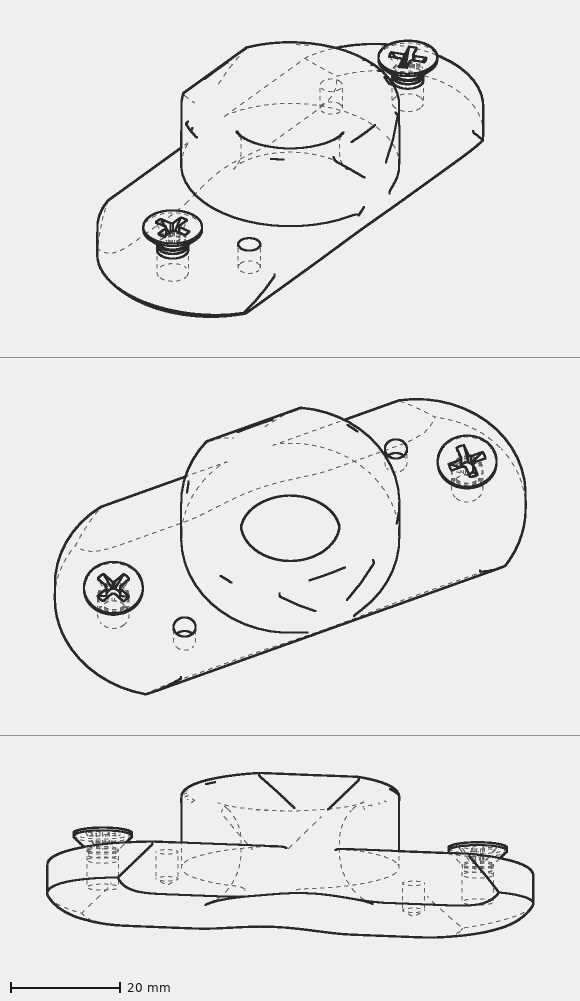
import cadquery as cq
import math


total_length = 90.0
barrel_radius = 20.0
top_z = 10.1
bottom_z = -13.0
plate_thickness = 9.0
plate_top_z = bottom_z + plate_thickness
end_center_y = total_length / 2 - barrel_radius

boss_edge_radius = 1.0
plate_edge_radius = 0.5
end_round_radius = 6.9
end_round_height = 3.2
end_round_center_y = 23.7

throat_radius = 9.0
throat_half_length = 1.0
top_flare_radius = top_z - throat_half_length
bottom_flare_radius = -bottom_z - throat_half_length

pilot_diameter = 4.05
pilot_x = 10.0
pilot_y = 25.0
pilot_depth = 5.0
pilot_tip_angle = 118.0

screw_y = 35.0
screw_top_z = 1.1
screw_turns = {-screw_y: 0.0, screw_y: 22.0}
head_diameter = 10.8
head_rim = 0.5
shank_diameter = 5.8
neck_diameter = 5.6
neck_top_z = -2.25
neck_bottom_z = -3.0
shank_end_z = -9.0
recess_depth = 2.7
recess_top_radius = 3.4
recess_bottom_radius = 1.3
recess_arm_width = 1.4


def make_barrel():
    """Horizontal cylinder that rounds the long sides of the whole housing."""
    return cq.Workplane("XZ").circle(barrel_radius).extrude(total_length / 2, both=True)


def make_plate():
    """Round-ended plate with barrel-shaped sides and a rounded top edge."""
    plate = (
        cq.Workplane("XY", origin=(0, 0, bottom_z))
        .slot2D(total_length, 2 * barrel_radius, 90)
        .extrude(plate_thickness)
        .intersect(make_barrel())
    )
    plate = plate.faces(">Z").edges().fillet(plate_edge_radius)
    return cq.Workplane(plate.val().fix())


def make_boss():
    """Upright cylinder with its two sides trimmed by the barrel and a rounded top edge."""
    boss = (
        cq.Workplane("XY", origin=(0, 0, bottom_z))
        .circle(barrel_radius)
        .extrude(top_z - bottom_z)
        .intersect(make_barrel())
    )
    return boss.faces(">Z").edges().fillet(boss_edge_radius)


def make_end_round_cutter(side):
    """Revolved cutter that rounds the underside of one plate end; side is +1 or -1."""
    reach = total_length / 2 - end_round_center_y
    drop = end_round_radius - end_round_height
    arc_start_r = reach - math.sqrt(end_round_radius**2 - drop**2)
    arc_center_z = bottom_z + end_round_radius
    mid_offset = end_round_radius * math.sqrt(0.5)
    ring = (
        cq.Workplane("XZ")
        .moveTo(arc_start_r, bottom_z)
        .threePointArc(
            (arc_start_r + mid_offset, arc_center_z - mid_offset),
            (arc_start_r + end_round_radius, arc_center_z),
        )
        .lineTo(arc_start_r + end_round_radius, bottom_z)
        .close()
        .revolve(360, (0, 0, 0), (0, 1, 0))
        .translate((0, side * end_round_center_y, 0))
    )
    half_space = cq.Workplane("XY").box(total_length, total_length, total_length).translate(
        (0, side * (end_round_center_y + total_length / 2), 0)
    )
    return ring.intersect(half_space)


def make_bore():
    """Hourglass bore: a straight throat that flares out to the top and to the bottom."""
    top_lip = throat_radius + top_flare_radius
    bottom_lip = throat_radius + bottom_flare_radius
    return (
        cq.Workplane("XZ")
        .moveTo(0, bottom_z)
        .lineTo(bottom_lip, bottom_z)
        .radiusArc((throat_radius, -throat_half_length), bottom_flare_radius)
        .lineTo(throat_radius, throat_half_length)
        .radiusArc((top_lip, top_z), top_flare_radius)
        .lineTo(0, top_z)
        .close()
        .revolve(360, (0, 0, 0), (0, 1, 0))
    )


def make_pilot_holes():
    """Two blind drill holes with conical tips, diagonally opposite each other."""
    radius = pilot_diameter / 2
    tip_height = radius / math.tan(math.radians(pilot_tip_angle / 2))
    hole = (
        cq.Workplane("XZ")
        .moveTo(0, plate_top_z)
        .lineTo(radius, plate_top_z)
        .lineTo(radius, plate_top_z - pilot_depth)
        .lineTo(0, plate_top_z - pilot_depth - tip_height)
        .close()
        .revolve(360, (0, 0, 0), (0, 1, 0))
    )
    return hole.translate((-pilot_x, pilot_y, 0)).union(hole.translate((pilot_x, -pilot_y, 0)))


def make_screw_holes():
    """Blind holes that the screw shanks fill."""
    return (
        cq.Workplane("XY", origin=(0, 0, plate_top_z))
        .pushPoints([(0, -screw_y), (0, screw_y)])
        .circle(shank_diameter / 2)
        .extrude(shank_end_z - plate_top_z)
    )


def make_housing():
    housing = make_plate().union(make_boss())
    for side in (-1, 1):
        housing = housing.cut(make_end_round_cutter(side))
    return housing.cut(make_bore()).cut(make_pilot_holes()).cut(make_screw_holes())


def make_cross_recess():
    """Tapered cross with a round center, sunk into the screw head."""
    floor_z = screw_top_z - recess_depth
    taper = (
        cq.Workplane("XZ")
        .moveTo(0, floor_z)
        .lineTo(recess_bottom_radius, floor_z)
        .lineTo(recess_top_radius, screw_top_z)
        .lineTo(0, screw_top_z)
        .close()
        .revolve(360, (0, 0, 0), (0, 1, 0))
    )
    floor_plane = cq.Workplane("XY", origin=(0, 0, floor_z))
    cross = floor_plane.rect(2 * recess_top_radius, recess_arm_width).extrude(recess_depth)
    cross = cross.union(floor_plane.rect(recess_arm_width, 2 * recess_top_radius).extrude(recess_depth))
    center = floor_plane.circle(recess_bottom_radius).extrude(recess_depth)
    return taper.intersect(cross).union(center)


def make_screw(y, turn):
    """Countersunk screw standing at the given y, its cross recess turned by the given angle."""
    head_radius = head_diameter / 2
    shank_radius = shank_diameter / 2
    neck_radius = neck_diameter / 2
    cone_top_z = screw_top_z - head_rim
    cone_bottom_z = cone_top_z - (head_radius - shank_radius)
    outline = [
        (0, screw_top_z),
        (head_radius, screw_top_z),
        (head_radius, cone_top_z),
        (shank_radius, cone_bottom_z),
        (shank_radius, neck_top_z),
        (neck_radius, neck_top_z),
        (neck_radius, neck_bottom_z),
        (shank_radius, neck_bottom_z),
        (shank_radius, shank_end_z),
        (0, shank_end_z),
    ]
    screw = cq.Workplane("XZ").polyline(outline).close().revolve(360, (0, 0, 0), (0, 1, 0))
    screw = screw.cut(make_cross_recess())
    return screw.rotate((0, 0, 0), (0, 0, 1), turn).translate((0, y, 0))


housing = make_housing()
screws = [make_screw(y, turn) for y, turn in screw_turns.items()]

result = cq.Compound.makeCompound([housing.solids().val(), *[screw.val() for screw in screws]])